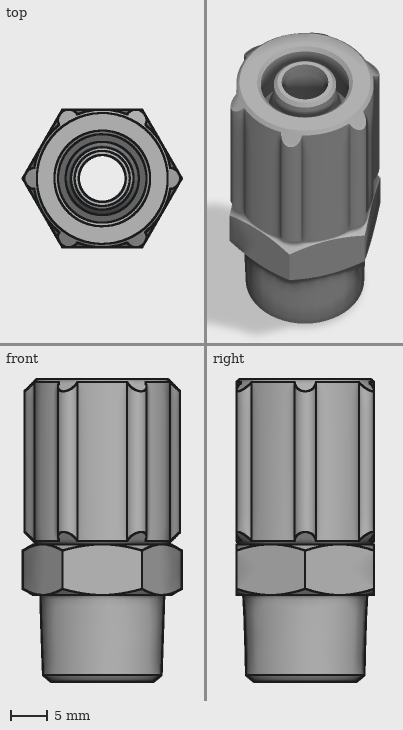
import cadquery as cq
import math

total_height = 41.8
thread_height = 12.0
hex_height = 7.0
hex_top = thread_height + hex_height

thread_root_radius = 8.55
thread_tip_radius = 8.2
thread_chamfer_height = 0.95
thread_chamfer_width = 1.15

hex_sides = 6
hex_across_corners = 21.95
hex_corner_radius = hex_across_corners / 2
hex_flat_radius = hex_corner_radius * math.cos(math.pi / hex_sides)
hex_chamfer_angle = 30.0

cap_radius = 9.5
cap_face_radius = 9.03
rib_count = 6
rib_radius = 1.45
rib_tip_radius = 10.75
rib_circle_radius = rib_tip_radius - rib_radius
rib_chamfer = rib_tip_radius - cap_face_radius

lip_radius = 6.1
lip_depth = 4.05
lip_chamfer = 0.5
recess_radius = 6.65
recess_depth = 7.52
lip_level = total_height - lip_depth
floor_level = total_height - recess_depth

bore_radius = 3.2
nozzle_radius = 4.3
nozzle_chamfer = 0.5
nozzle_base_radius = 5.05
nozzle_straight_length = 2.8
nozzle_flare_length = 2.2
flare_top = total_height - nozzle_straight_length
flare_bottom = flare_top - nozzle_flare_length


def revolve_profile(points):
    """Turn a closed (radius, height) outline around the Z axis."""
    return cq.Workplane("XZ").polyline(points).close().revolve(360, (0, 0, 0), (0, 1, 0))


def make_thread():
    return revolve_profile([
        (0, 0),
        (thread_tip_radius - thread_chamfer_width, 0),
        (thread_tip_radius, thread_chamfer_height),
        (thread_root_radius, thread_height),
        (0, thread_height),
    ])


def make_hexagon():
    prism = (
        cq.Workplane("XY", origin=(0, 0, thread_height))
        .polygon(hex_sides, hex_across_corners)
        .extrude(hex_height)
    )
    corner_drop = (hex_corner_radius - hex_flat_radius) * math.tan(math.radians(hex_chamfer_angle))
    envelope = revolve_profile([
        (0, thread_height),
        (hex_flat_radius, thread_height),
        (hex_corner_radius, thread_height + corner_drop),
        (hex_corner_radius, hex_top - corner_drop),
        (hex_flat_radius, hex_top),
        (0, hex_top),
    ])
    return prism.intersect(envelope)


def make_cap():
    cap_height = total_height - hex_top
    base = cq.Workplane("XY", origin=(0, 0, hex_top))
    ribs = base.polarArray(rib_circle_radius, 0, 360, rib_count).circle(rib_radius).extrude(cap_height)
    envelope = base.circle(rib_tip_radius).extrude(cap_height).faces("<Z or >Z").chamfer(rib_chamfer)
    return base.circle(cap_radius).extrude(cap_height).union(ribs).intersect(envelope)


def make_recess():
    """Ring-shaped cavity between the cap and the nozzle."""
    return revolve_profile([
        (nozzle_radius - nozzle_chamfer, total_height),
        (nozzle_radius, total_height - nozzle_chamfer),
        (nozzle_radius, flare_top),
        (nozzle_base_radius, flare_bottom),
        (nozzle_base_radius, floor_level),
        (recess_radius, floor_level),
        (recess_radius, lip_level),
        (lip_radius, lip_level),
        (lip_radius, total_height - lip_chamfer),
        (lip_radius + lip_chamfer, total_height),
    ])


bore = cq.Workplane("XY").circle(bore_radius).extrude(total_height)

result = make_thread().union(make_hexagon()).union(make_cap()).cut(make_recess()).cut(bore)